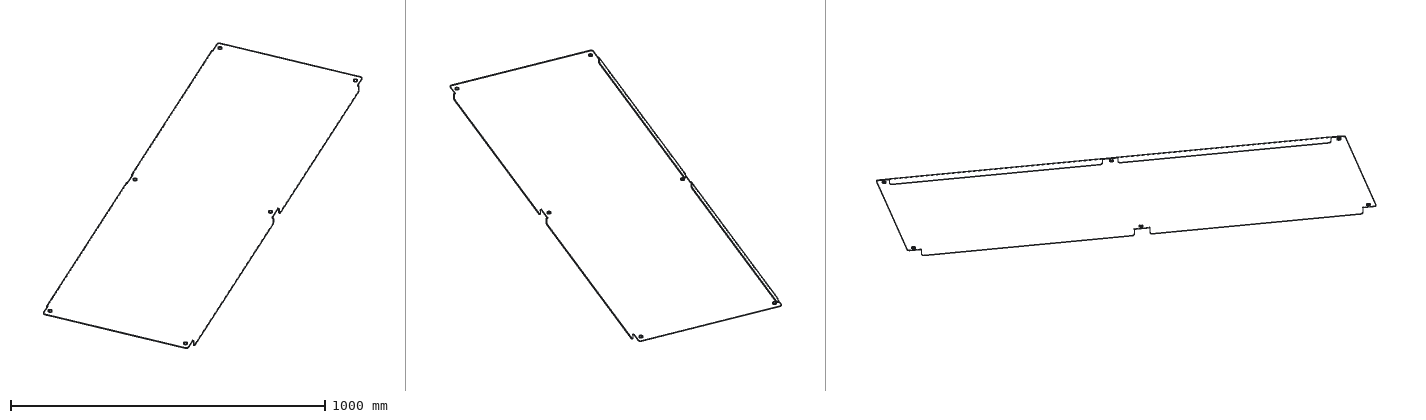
import cadquery as cq

length = 1524.0
width = 506.0
height = 23.0

thickness = 3.0
bend_inner_radius = 3.5
bend_outer_radius = bend_inner_radius + thickness

panel_width = 495.0
panel_corner_radius = 8.0

flange_end_y = 718.0
flange_gap = 50.0
flange_corner_radius = 8.0
flange_length = flange_end_y - flange_gap / 2
flange_center_y = (flange_end_y + flange_gap / 2) / 2

hole_diameter = 12.6
hole_x = 232.0
hole_end_y = 739.0


def make_panel():
    """Flat sheet with rounded corners, its top face at Z = 0."""
    panel = cq.Workplane("XY").box(panel_width, length, thickness, centered=(True, True, False))
    return panel.edges("|Z").fillet(panel_corner_radius).translate((0, 0, -thickness))


def make_flange(center_y):
    """Right-hand flange, bent down from the panel, with rounded lower corners."""
    outer_x = width / 2
    inner_x = outer_x - thickness
    bend_x = outer_x - bend_outer_radius
    overlap_x = bend_x - thickness
    flange = (
        cq.Workplane("XZ")
        .moveTo(overlap_x, 0)
        .lineTo(bend_x, 0)
        .radiusArc((outer_x, -bend_outer_radius), bend_outer_radius)
        .lineTo(outer_x, -height)
        .lineTo(inner_x, -height)
        .lineTo(inner_x, -bend_outer_radius)
        .radiusArc((bend_x, -thickness), -bend_inner_radius)
        .lineTo(overlap_x, -thickness)
        .close()
        .extrude(flange_length / 2, both=True)
    )
    flange = flange.faces("<Z").edges("|X").fillet(flange_corner_radius)
    return flange.translate((0, center_y, 0))


def clear_bend_zone(panel, center_y):
    """Remove the flat panel strip that the bend replaces on both long edges."""
    strip_width = width / 2
    strip_x = width / 2 - bend_outer_radius + strip_width / 2
    for side in (-1, 1):
        strip = cq.Workplane("XY").box(strip_width, flange_length, height)
        panel = panel.cut(strip.translate((side * strip_x, center_y, 0)))
    return panel


result = make_panel()
for flange_y in (-flange_center_y, flange_center_y):
    right_flange = make_flange(flange_y)
    result = clear_bend_zone(result, flange_y)
    result = result.union(right_flange).union(right_flange.mirror("YZ"))

hole_points = [(x, y) for x in (-hole_x, hole_x) for y in (-hole_end_y, 0, hole_end_y)]
holes = (
    cq.Workplane("XY")
    .workplane(offset=-thickness)
    .pushPoints(hole_points)
    .circle(hole_diameter / 2)
    .extrude(thickness)
)
result = result.cut(holes)